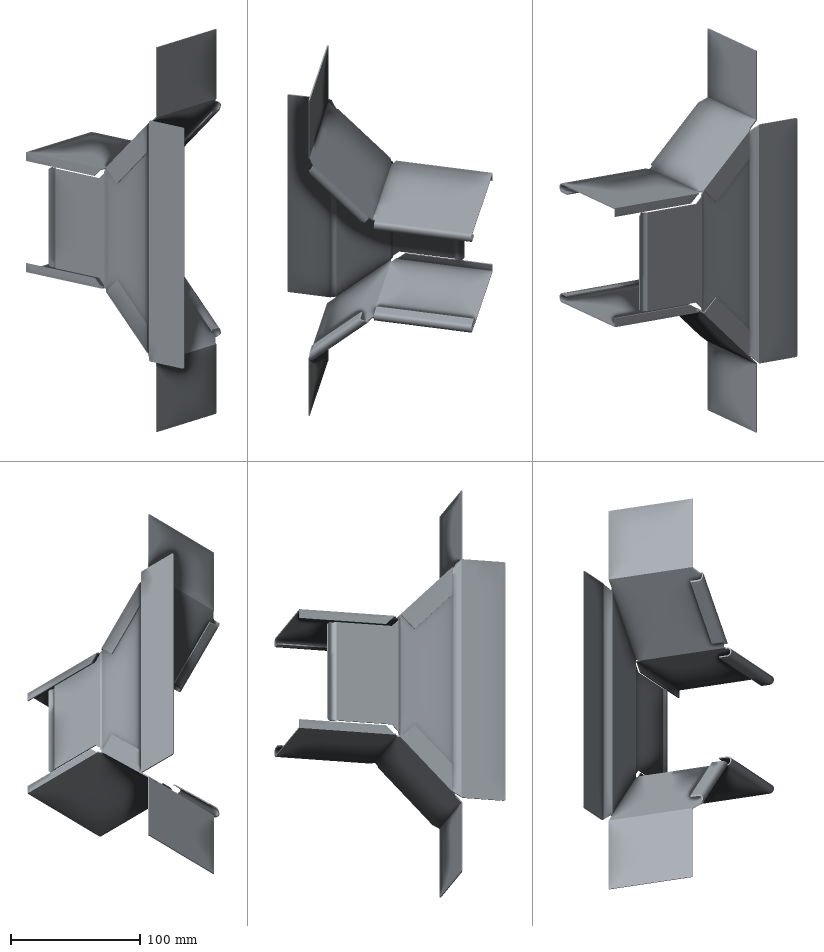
import cadquery as cq
import math

THICKNESS = 1.0
ROOT_2 = math.sqrt(2)

RAIL_HEIGHT = 82.0
ARM_HALF_WIDTH = 48.0
BEND_X = 79.0
WING_X = 129.5
WING_TIP_Z = 154.0
WING_BOTTOM = 2.2
WING_TOP = 73.7
FLANGE_WIDTH = 7.0
FLANGE_END_X = 76.0
CURL_RADIUS = 3.7
CURL_END_X = 77.0
LIP_END_Y = 71.2
BEND_NOTCH_BOTTOM = 5.5
BEND_NOTCH_TOP = 76.8
TAB_WIDTH = 15.7
TAB_START = 2.5
TAB_END_X = 122.0
SLANT_CURL_START = 4.0
SLANT_CURL_END_X = 125.5

LIP_X = 163.0
LIP_HALF_WIDTH = 96.5
LIP_Y = -4.3
LIP_CORNER = 1.0
STEP_X = 122.7
JOGGLE_X = 79.0
JOGGLE_RUN = 2.0
NECK_HALF_WIDTH = 39.8
NECK_FLARE_X = 73.7
TONGUE_X = 22.8
TONGUE_CORNER = 2.0
FOOT_X = 29.5
CREST_X = 26.2
CREST_RADIUS = 2.2
RAMP_ANGLE = math.radians(35)

CURL_CENTRE_Y = RAIL_HEIGHT - CURL_RADIUS
SLANT_OFFSET = BEND_X - ARM_HALF_WIDTH
WING_START_Z = WING_X - SLANT_OFFSET
FLOOR_EDGE_OFFSET = SLANT_OFFSET + THICKNESS * ROOT_2

THROUGH = 616.5


def bent_sheet(plane, points, length):
    """Sheet whose one face follows the points; its thickness lies to the left of their direction."""
    headings = [math.atan2(b[1] - a[1], b[0] - a[0]) for a, b in zip(points, points[1:])]
    before = [headings[0]] + headings
    after = headings + [headings[-1]]
    other_face = []
    for (x, y), first, second in zip(points, before, after):
        bisector = (first + second) / 2
        mitre = THICKNESS / math.cos((second - first) / 2)
        other_face.append((x - mitre * math.sin(bisector), y + mitre * math.cos(bisector)))
    return cq.Workplane(plane).polyline(points + other_face[::-1]).close().extrude(length)


def straight_point(along, inward):
    """X, Z of a point measured along the straight arm and inward from its outer face."""
    return (along, ARM_HALF_WIDTH - inward)


def slant_point(along, inward):
    """X, Z of a point measured from the bend along the slanted arm and inward from its outer face."""
    return (BEND_X + (along + inward) / ROOT_2, ARM_HALF_WIDTH + (along - inward) / ROOT_2)


def rail_wall():
    """Straight arm, slanted arm and wing, trimmed by the notches at the bends."""
    outer_face = [
        (0, ARM_HALF_WIDTH),
        (BEND_X, ARM_HALF_WIDTH),
        (WING_X, WING_START_Z),
        (WING_X, WING_TIP_Z),
    ]
    wall = bent_sheet("XZ", outer_face[::-1], -RAIL_HEIGHT)
    notch_rise = CURL_CENTRE_Y - BEND_NOTCH_TOP
    wing_back = WING_X + THICKNESS
    slant_curl_x = slant_point(SLANT_CURL_START, 0)[0]
    outline = [
        (0, 0),
        (FLANGE_END_X, 0),
        (BEND_X, BEND_NOTCH_BOTTOM),
        (slant_point(TAB_START, 0)[0], 0),
        (TAB_END_X, 0),
        (TAB_END_X + WING_BOTTOM, WING_BOTTOM),
        (wing_back, WING_BOTTOM),
        (wing_back, WING_TOP),
        (WING_X, WING_TOP),
        (SLANT_CURL_END_X, CURL_CENTRE_Y),
        (slant_curl_x, CURL_CENTRE_Y),
        (slant_curl_x - notch_rise, BEND_NOTCH_TOP),
        (CURL_END_X, BEND_NOTCH_TOP),
        (CURL_END_X, CURL_CENTRE_Y),
        (0, CURL_CENTRE_Y),
    ]
    return wall.intersect(cq.Workplane("XY").polyline(outline).close().extrude(THROUGH))


def bottom_flange():
    """Flange under the straight arm, with its end mitred at 45 degrees."""
    inner_z = ARM_HALF_WIDTH - FLANGE_WIDTH
    outline = [
        (0, ARM_HALF_WIDTH),
        (FLANGE_END_X, ARM_HALF_WIDTH),
        (FLANGE_END_X - FLANGE_WIDTH, inner_z),
        (0, inner_z),
    ]
    return cq.Workplane("XZ").polyline(outline).close().extrude(-THICKNESS)


def floor_tab():
    """Wide tab under the slanted arm that carries the floor plate."""
    full_length = (TAB_END_X - BEND_X) * ROOT_2
    outline = [
        slant_point(TAB_START, 0),
        slant_point(full_length, 0),
        slant_point(full_length - TAB_WIDTH, TAB_WIDTH),
        slant_point(TAB_START, TAB_WIDTH),
    ]
    return cq.Workplane("XZ").polyline(outline).close().extrude(-THICKNESS)


def curl(arm_point, direction, start, end, mitre):
    """Rolled top edge of one arm: a half turn ending in a lip.

    The inner half of the roll is cut back by the mitre length at both of its ends.
    """
    origin_x, origin_z = arm_point(start, 0)
    across = cq.Plane(origin=(origin_x, CURL_CENTRE_Y, origin_z), xDir=(0, 1, 0), normal=direction)
    depth = 2 * CURL_RADIUS
    inner_radius = CURL_RADIUS - THICKNESS
    lip_tip = LIP_END_Y - CURL_CENTRE_Y
    roll = (
        cq.Workplane(across)
        .threePointArc((CURL_RADIUS, -CURL_RADIUS), (0, -depth))
        .lineTo(lip_tip, -depth)
        .lineTo(lip_tip, THICKNESS - depth)
        .lineTo(0, THICKNESS - depth)
        .threePointArc((inner_radius, -CURL_RADIUS), (0, -THICKNESS))
        .close()
        .extrude(end - start)
    )
    mitred_outline = [
        arm_point(start, 0),
        arm_point(end, 0),
        arm_point(end, CURL_RADIUS),
        arm_point(end - mitre, depth),
        arm_point(start + mitre, depth),
        arm_point(start, CURL_RADIUS),
    ]
    return roll.intersect(cq.Workplane("XZ").polyline(mitred_outline).close().extrude(-THROUGH))


def upper_rail():
    """Rail on the +Z side: wall, bottom flange, floor tab and the rolled top edges of both arms."""
    slant_curl_end = (SLANT_CURL_END_X - BEND_X) * ROOT_2
    straight_curl = curl(straight_point, (1, 0, 0), 0, CURL_END_X, 0)
    slant_curl = curl(slant_point, (1, 0, 1), SLANT_CURL_START, slant_curl_end, CURL_RADIUS)
    rail = rail_wall().union(bottom_flange()).union(floor_tab())
    return rail.union(straight_curl).union(slant_curl)


def floor_outline():
    """Plan of the floor: narrow neck, trapezoid between the slanted arms, and straight lip."""
    flare = JOGGLE_X - NECK_FLARE_X
    tip_x = TONGUE_X - THICKNESS * math.sin(RAMP_ANGLE)
    upper = [
        (tip_x, NECK_HALF_WIDTH - TONGUE_CORNER),
        (tip_x + TONGUE_CORNER, NECK_HALF_WIDTH),
        (NECK_FLARE_X, NECK_HALF_WIDTH),
        (JOGGLE_X, NECK_HALF_WIDTH + flare),
        (JOGGLE_X, JOGGLE_X - FLOOR_EDGE_OFFSET),
        (LIP_HALF_WIDTH + FLOOR_EDGE_OFFSET, LIP_HALF_WIDTH),
        (LIP_X - LIP_CORNER, LIP_HALF_WIDTH),
        (LIP_X, LIP_HALF_WIDTH - LIP_CORNER),
    ]
    lower = [(x, -z) for x, z in reversed(upper)]
    return cq.Workplane("XZ").polyline(upper + lower).close().extrude(THROUGH, both=True)


def floor_plate():
    """Floor sheet: ridged tongue, neck, joggle up onto the rail tabs, and 45 degree step down to the lip."""
    ramp_slope = math.tan(RAMP_ANGLE)
    crest_y = (FOOT_X - CREST_X) * ramp_slope
    under_face = [
        (TONGUE_X, crest_y - (CREST_X - TONGUE_X) * ramp_slope),
        (CREST_X, crest_y),
        (FOOT_X, 0),
        (JOGGLE_X, 0),
        (JOGGLE_X + JOGGLE_RUN, THICKNESS),
        (STEP_X, THICKNESS),
        (STEP_X + THICKNESS - LIP_Y, LIP_Y),
        (LIP_X, LIP_Y),
    ]
    length = 2 * LIP_X
    sheet = bent_sheet("XY", under_face, length).translate((0, 0, -LIP_X))
    under_crest = cq.selectors.NearestToPointSelector((CREST_X, crest_y, 0))
    over_crest = cq.selectors.NearestToPointSelector((CREST_X, crest_y + THICKNESS, 0))
    sheet = sheet.edges(under_crest).fillet(CREST_RADIUS)
    sheet = sheet.edges(over_crest).fillet(CREST_RADIUS + THICKNESS)
    return sheet.intersect(floor_outline())


floor = floor_plate()
rail = upper_rail()
rails = [rail, rail.mirror("XY")]

result = cq.Compound.makeCompound([floor.val(), *[side.val() for side in rails]])